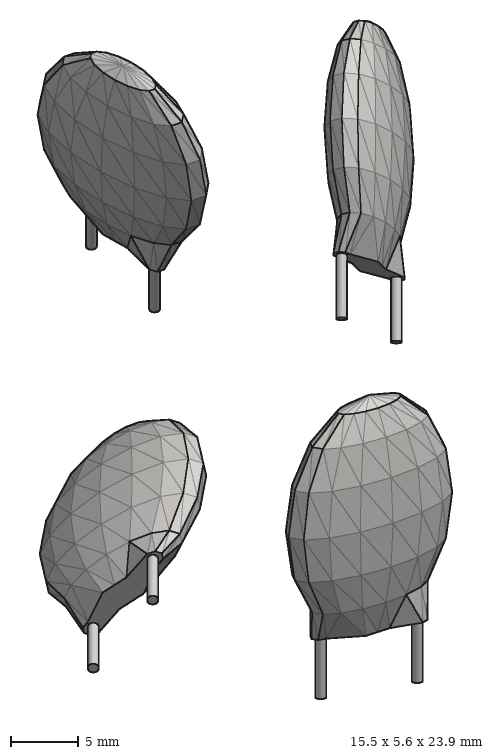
import cadquery as cq
import math

BODY_HALF_WIDTH = 7.75
BODY_HALF_DEPTH = 2.8
BODY_HALF_HEIGHT = 9.5
BODY_TOP_Z = 23.9
BODY_CENTRE_Z = BODY_TOP_Z - BODY_HALF_HEIGHT

SEGMENTS = 16
RING_STEP = math.pi / 8
RING_COUNT = 6

LEAD_DIAMETER = 0.84
LEAD_LENGTH = 4.95
LEAD_X = 3.75
LEAD_Y = 1.1

FOOT_Z = LEAD_LENGTH
LOBE_HALF_WIDTH = 0.88
LOBE_HALF_DEPTH = 0.65
WAIST_HALF_WIDTH = 1.15
WAIST_HALF_DEPTH = 1.0


def ellipsoid_ring(level):
    """Corners of the ellipsoid ring that is `level` latitude steps below the tip."""
    polar = level * RING_STEP
    z = BODY_CENTRE_Z + BODY_HALF_HEIGHT * math.cos(polar)
    angles = [2 * math.pi * i / SEGMENTS for i in range(SEGMENTS)]
    return [
        cq.Vector(
            BODY_HALF_WIDTH * math.sin(polar) * math.cos(angle),
            BODY_HALF_DEPTH * math.sin(polar) * math.sin(angle),
            z,
        )
        for angle in angles
    ]


def foot_ring():
    """Corners of the foot outline, counter-clockwise from +X like the other rings."""
    lobe_angles = [math.radians(degrees) for degrees in (0, 45, 90)]
    outline = [
        (LEAD_X + LOBE_HALF_WIDTH * math.cos(a), -LEAD_Y + LOBE_HALF_DEPTH * math.sin(a))
        for a in lobe_angles
    ]
    outline += [(x, WAIST_HALF_DEPTH) for x in (WAIST_HALF_WIDTH, 0, -WAIST_HALF_WIDTH)]
    outline += [
        (-LEAD_X - LOBE_HALF_WIDTH * math.cos(a), LEAD_Y + LOBE_HALF_DEPTH * math.sin(a))
        for a in reversed(lobe_angles[1:])
    ]
    outline += [(-x, -y) for x, y in outline]
    return [cq.Vector(x, y, FOOT_Z) for x, y in outline]


def flat_face(*corners):
    return cq.Face.makeFromWires(cq.Wire.makePolygon(corners, close=True))


def band_faces(upper, lower):
    """Triangles between two rings, each quad split from its upper to its next lower corner."""
    faces = []
    for i in range(SEGMENTS):
        following = (i + 1) % SEGMENTS
        faces.append(flat_face(upper[i], lower[i], lower[following]))
        faces.append(flat_face(upper[i], lower[following], upper[following]))
    return faces


def make_body():
    tip = cq.Vector(0, 0, BODY_TOP_Z)
    rings = [ellipsoid_ring(level) for level in range(1, RING_COUNT + 1)]
    rings.append(foot_ring())
    top_ring = rings[0]
    faces = [flat_face(tip, top_ring[i - 1], top_ring[i]) for i in range(SEGMENTS)]
    for upper, lower in zip(rings, rings[1:]):
        faces += band_faces(upper, lower)
    faces.append(flat_face(*reversed(rings[-1])))
    return cq.Solid.makeSolid(cq.Shell.makeShell(faces))


def make_lead(x, y):
    """Round lead from Z = 0 up to the foot of the body."""
    lead = cq.Workplane("XY").center(x, y).circle(LEAD_DIAMETER / 2).extrude(LEAD_LENGTH)
    return lead.val()


body = make_body()
leads = [make_lead(side * LEAD_X, -side * LEAD_Y) for side in (-1, 1)]

result = cq.Compound.makeCompound([body, *leads])